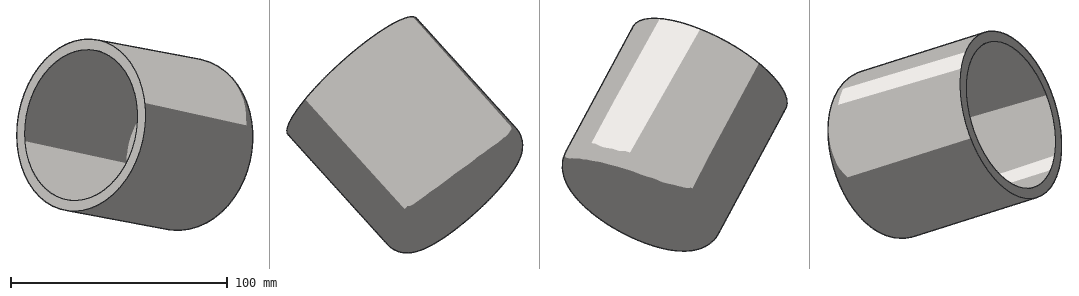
import cadquery as cq

outer_diameter = 80.0
inner_diameter = 70.0
length = 80.1
outer_round = 10.0
tilt = 30

wall = (outer_diameter - inner_diameter) / 2
inner_round = outer_round - wall


def rounded_cylinder(diameter, height, round_radius):
    """Cylinder rising along +Y from the origin, rounded at its far end."""
    base = cq.Workplane("XZ").circle(diameter / 2).extrude(-height)
    return base.faces(">Y").edges().fillet(round_radius)


body = rounded_cylinder(outer_diameter, length, outer_round)
cavity = rounded_cylinder(inner_diameter, length - wall, inner_round)
cup = body.cut(cavity)

result = cup.rotate((0, 0, 0), (1, 0, 0), -tilt)